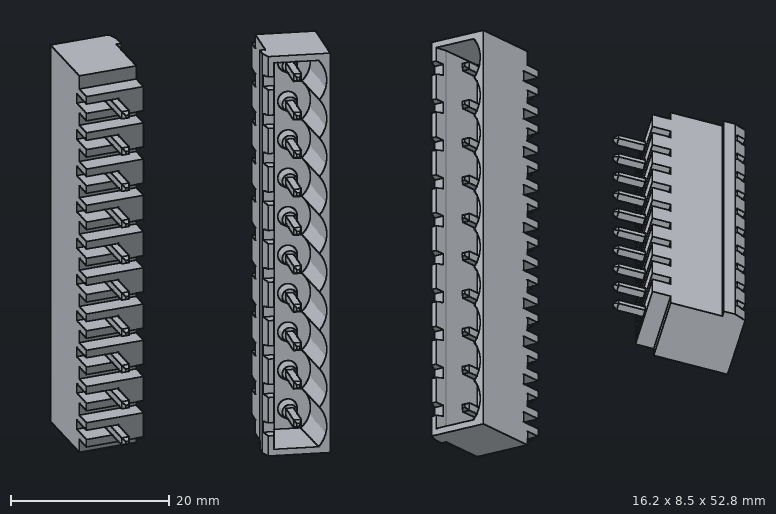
import cadquery as cq


pin_count = 10
pitch = 5.08
first_pin_z = -pitch * (pin_count - 1) / 2
pin_z_positions = [first_pin_z + i * pitch for i in range(pin_count)]

housing_length = 52.8
housing_depth = 9.75
housing_width = 7.8

ridge_top = 8.5
ridge_mouth_top = 8.0
ridge_ramp_depth = 1.5
ridge_depth = 2.95

end_wall = 0.87
cavity_depth = 8.4
cavity_length = housing_length - 2 * end_wall
lead_in_depth = 1.6
cavity_top_at_mouth = 7.3
cavity_top_at_lead_in = 6.92
cavity_top_at_floor = 6.82

scallop_center_y = 4.4
scallop_mouth_radius = 3.92
scallop_floor_radius = 3.44

notch_depth = 1.2
notch_mouth_width = 1.75
notch_floor_width = 1.42

foot_end_x = 12.15
foot_width = 3.4

slot_start_x = 8.9
slot_step_x = 9.5
slot_width = 1.3

pin_size = 1.0
pin_y = 3.9
pin_start_x = 1.2
pin_end_x = 16.2
pin_tip_length = 0.6
pin_tip_size = 0.4
slot_step_to_pin = 0.3
slot_step_y = pin_y - pin_size / 2 - slot_step_to_pin
slot_floor_y = pin_y + pin_size / 2

collar_height = 1.5
collar_base_diameter = 2.5
collar_end_diameter = 1.9


def box(x_range, y_range, z_center, z_size):
    """Box between two x values and two y values, centred on z_center."""
    size_x = x_range[1] - x_range[0]
    size_y = y_range[1] - y_range[0]
    return (
        cq.Workplane("XY")
        .box(size_x, size_y, z_size, centered=(False, False, True))
        .translate((x_range[0], y_range[0], z_center))
    )


def cone_along_x(radius_start, radius_end, length, start, direction):
    """Truncated cone along the X axis, pointing in the given direction (+1 or -1)."""
    axis = cq.Vector(direction, 0, 0)
    return cq.Workplane(obj=cq.Solid.makeCone(radius_start, radius_end, length, cq.Vector(*start), axis))


def housing():
    """Solid housing with the ramped latch ridge on its +Y wall."""
    profile = [
        (0, 0),
        (housing_depth, 0),
        (housing_depth, housing_width),
        (ridge_depth, housing_width),
        (ridge_depth, ridge_top),
        (ridge_ramp_depth, ridge_top),
        (0, ridge_mouth_top),
    ]
    return cq.Workplane("XY").polyline(profile).close().extrude(housing_length / 2, both=True)


def cavity():
    """Mating cavity: a slightly drafted +Y wall with a lead-in, and tapered scallops on the -Y side."""
    core_profile = [
        (0, scallop_center_y),
        (cavity_depth, scallop_center_y),
        (cavity_depth, cavity_top_at_floor),
        (lead_in_depth, cavity_top_at_lead_in),
        (0, cavity_top_at_mouth),
    ]
    core = cq.Workplane("XY").polyline(core_profile).close().extrude(cavity_length / 2, both=True)
    scallop_limit = box((0, cavity_depth), (0, scallop_center_y), 0, cavity_length)
    for z in pin_z_positions:
        scallop = cone_along_x(
            scallop_mouth_radius, scallop_floor_radius, cavity_depth, (0, scallop_center_y, z), 1
        )
        core = core.union(scallop.intersect(scallop_limit))
    return core


def ridge_notch(z):
    """Notch across the ridge and the +Y wall, narrowing toward its floor."""
    profile = [
        (0, z - notch_mouth_width / 2),
        (notch_depth, z - notch_floor_width / 2),
        (notch_depth, z + notch_floor_width / 2),
        (0, z + notch_mouth_width / 2),
    ]
    return (
        cq.Workplane("XZ", origin=(0, ridge_top, 0))
        .polyline(profile)
        .close()
        .extrude(ridge_top - scallop_center_y)
    )


def foot(z):
    """Foot standing on the +X side of the housing."""
    return box((housing_depth, foot_end_x), (0, housing_width), z, foot_width)


def pin_slot(z):
    """Slot from the -Y side, deepening from a step just short of the pin to its far side."""
    outer = box((slot_start_x, foot_end_x), (0, slot_step_y), z, slot_width)
    inner = box((slot_step_x, foot_end_x), (slot_step_y, slot_floor_y), z, slot_width)
    return outer.union(inner)


def pin_tip(base_x, z, length):
    """Square tapered tip growing from base_x by a signed length along X."""
    return (
        cq.Workplane("YZ", origin=(base_x, pin_y, z))
        .rect(pin_size, pin_size)
        .workplane(offset=length)
        .rect(pin_tip_size, pin_tip_size)
        .loft(combine=True)
    )


def pin(z):
    """Square pin with a tapered tip at both ends."""
    shank_start = pin_start_x + pin_tip_length
    shank_end = pin_end_x - pin_tip_length
    shank = box((shank_start, shank_end), (pin_y - pin_size / 2, pin_y + pin_size / 2), z, pin_size)
    return (
        shank
        .union(pin_tip(shank_start, z, -pin_tip_length))
        .union(pin_tip(shank_end, z, pin_tip_length))
    )


def collar(z):
    """Conical collar on the cavity floor around a pin."""
    return cone_along_x(
        collar_base_diameter / 2, collar_end_diameter / 2, collar_height, (cavity_depth, pin_y, z), -1
    )


body = housing().cut(cavity())
for pin_z in pin_z_positions:
    body = body.union(foot(pin_z))
    body = body.cut(ridge_notch(pin_z)).cut(pin_slot(pin_z))
    body = body.union(collar(pin_z)).union(pin(pin_z))

result = body